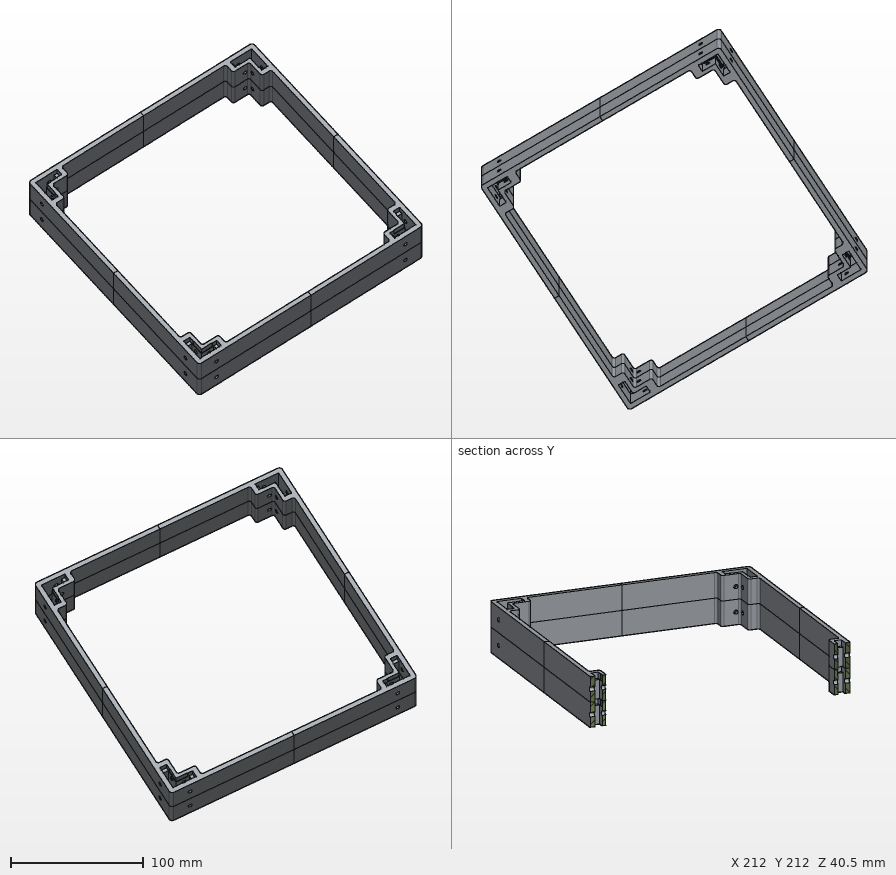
import cadquery as cq

FRAME_SIDE = 212.0
FRAME_HEIGHT = 40.5
TIER_COUNT = 2
SIDE_COUNT = 4
SEGMENT_LENGTH = FRAME_SIDE / 2
SEGMENT_HEIGHT = FRAME_HEIGHT / TIER_COUNT

WALL = 4.0
POST_DEPTH = 13.0
POST_LENGTH = 28.5
OUTER_RADIUS = 2.5
POST_RADIUS = 2.0

POCKET_DEPTH = 9.8
POCKET_LENGTH = 24.2
LEDGE_WIDTH = 2.8
LEDGE_HEIGHT = 15.3

RELIEF_DEPTH = 0.32
RELIEF_LENGTH = 20.1

HOLE_DIAMETER = 3.2
HOLE_OFFSET = 16.7


def elbow(start, depth, length, bottom, top):
    """L-shaped prism: two legs run along X and Y from the corner (start, start)."""
    return (
        cq.Workplane("XY", origin=(0, 0, bottom))
        .moveTo(start, start)
        .lineTo(length, start)
        .lineTo(length, depth)
        .lineTo(depth, depth)
        .lineTo(depth, length)
        .lineTo(start, length)
        .close()
        .extrude(top - bottom)
    )


def upright_edge(x, y):
    """Selector for the vertical edge that stands at the corner (x, y)."""
    return cq.selectors.NearestToPointSelector((x, y, SEGMENT_HEIGHT / 2))


def round_corners(body, corners, radius):
    """Fillet the vertical edges that stand at the given (x, y) corners."""
    for x, y in corners:
        body = body.edges("|Z").edges(upright_edge(x, y)).fillet(radius)
    return body


def make_shell():
    """Solid corner segment: thin outer walls with a thicker stepped post in the corner."""
    walls = elbow(0, WALL, SEGMENT_LENGTH, 0, SEGMENT_HEIGHT)
    post = elbow(0, POST_DEPTH, POST_LENGTH, 0, SEGMENT_HEIGHT)
    shell = round_corners(walls.union(post), [(0, 0)], OUTER_RADIUS)
    convex_corners = [(POST_LENGTH, POST_DEPTH), (POST_DEPTH, POST_LENGTH)]
    concave_corners = [(POST_DEPTH, POST_DEPTH), (POST_LENGTH, WALL), (WALL, POST_LENGTH)]
    return round_corners(shell, convex_corners + concave_corners, POST_RADIUS)


def make_relief():
    """Elbow that cuts slightly into the inner wall, with a 45 degree ramp at the end of each leg."""
    depth = POCKET_DEPTH + RELIEF_DEPTH
    relief = elbow(WALL, depth, RELIEF_LENGTH, LEDGE_HEIGHT, SEGMENT_HEIGHT)
    for x, y in [(RELIEF_LENGTH, depth), (depth, RELIEF_LENGTH)]:
        relief = relief.edges("|Z").edges(upright_edge(x, y)).chamfer(RELIEF_DEPTH)
    return relief


def make_pocket():
    """Void inside the post: a through passage, longer above the ledges, plus the relief."""
    passage = elbow(WALL, POCKET_DEPTH, POCKET_LENGTH - LEDGE_WIDTH, 0, SEGMENT_HEIGHT)
    upper = elbow(WALL, POCKET_DEPTH, POCKET_LENGTH, LEDGE_HEIGHT, SEGMENT_HEIGHT)
    return passage.union(upper).union(make_relief())


def make_screw_hole(plane, direction):
    """Cylinder through one leg of the post, square to the outer wall."""
    return (
        cq.Workplane(plane)
        .center(HOLE_OFFSET, SEGMENT_HEIGHT / 2)
        .circle(HOLE_DIAMETER / 2)
        .extrude(direction * POST_DEPTH)
    )


def make_corner_segment(tier, side):
    """One corner segment, placed in its tier and turned to its corner of the frame."""
    segment = make_shell().cut(make_pocket())
    segment = segment.cut(make_screw_hole("YZ", 1)).cut(make_screw_hole("XZ", -1))
    segment = segment.translate((-SEGMENT_LENGTH, -SEGMENT_LENGTH, tier * SEGMENT_HEIGHT))
    return segment.rotate((0, 0, 0), (0, 0, 1), side * 360 / SIDE_COUNT)


corner_segments = [
    make_corner_segment(tier, side).val()
    for tier in range(TIER_COUNT)
    for side in range(SIDE_COUNT)
]

result = cq.Compound.makeCompound(corner_segments)